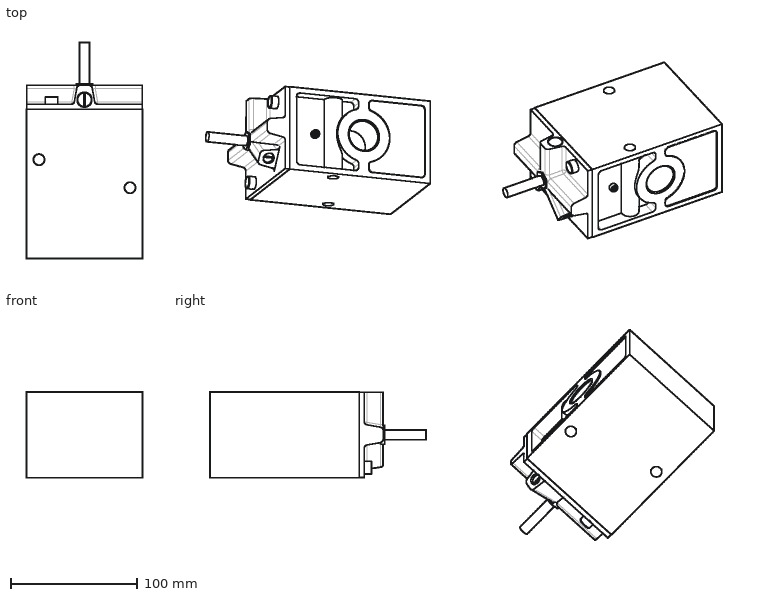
import cadquery as cq
import math

body_width = 92.0
body_length = 118.2
body_height = 68.0
total_length = 171.0

cover_width = 91.4
cover_height = 67.7
cover_rear = 122.1

rib_height = 15.0
rib_base_half_width = 8.35
rib_draft = 10.0
rib_crest_radius = 3.0
rib_foot_radius = 2.5
rib_corner_radius = 2.2
rib_rear = cover_rear + rib_height
rib_crest_half_width = rib_base_half_width - rib_height * math.tan(math.radians(rib_draft))
rib_reach = cover_height / 2
top_rib_angle = 90.0
slanted_rib_angle = 218.0

top_plug_diameter = 11.0
top_plug_depth = 10.0
top_plug_chamfer = 0.4
top_plug_y = cover_rear + 3.5
slanted_plug_diameter = 8.6
slanted_plug_depth = 2.3
slanted_plug_y = cover_rear + 6.9
plug_slot_width = 0.8
plug_slot_depth = 1.0

cable_diameter = 8.0
gland_across_flats = 13.0
gland_height = 1.3

cap_screw_diameter = 10.0
cap_screw_height = 6.0
cap_screw_edge = 0.5
cap_screw_offset = 26.0

through_diameter = 8.6
through_x = 36.0
left_through_y = 78.2
right_through_y = 56.0

port_y = 56.0
port_diameter = 24.12
port_depth = 30.0
port_chamfer = 1.0
port_ring_radius = 21.9
port_web_width = 8.8

pocket_height = 59.2
pocket_front = 4.5
pocket_rear = 112.6
pocket_corner_radius = 3.0
rear_pocket_depth = 11.0
front_pocket_depth = 1.0
column_radius = 7.2

pin_y = 93.5
pin_diameter = 6.15
pin_length = 3.5
pin_chamfer = 0.4
pin_hole_diameter = 2.46
pin_hole_depth = 1.5

side_x = -body_width / 2
tolerance = 0.01


def y_cylinder(diameter, y_start, y_end, x=0.0, z=0.0):
    """Cylinder along +Y."""
    axis = cq.Vector(0, 1, 0)
    return cq.Workplane(cq.Solid.makeCylinder(diameter / 2, y_end - y_start, cq.Vector(x, y_start, z), axis))


def side_cylinder(diameter, x_start, depth, y, z=0.0):
    """Cylinder along +X."""
    axis = cq.Vector(1, 0, 0)
    return cq.Workplane(cq.Solid.makeCylinder(diameter / 2, depth, cq.Vector(x_start, y, z), axis))


def z_cylinder(diameter, z_start, height, x, y):
    """Cylinder along +Z."""
    return cq.Workplane(cq.Solid.makeCylinder(diameter / 2, height, cq.Vector(x, y, z_start)))


def turn_about_y(shape, angle):
    """Turn a shape built along +X towards +Z by the given angle."""
    return shape.rotate((0, 0, 0), (0, 1, 0), -angle)


def make_rib(reach, angle):
    """Rib with a tapered cross-section, from the centre out to the given reach."""
    rib = (
        cq.Workplane("YZ")
        .moveTo(cover_rear, -rib_base_half_width)
        .lineTo(rib_rear, -rib_crest_half_width)
        .lineTo(rib_rear, rib_crest_half_width)
        .lineTo(cover_rear, rib_base_half_width)
        .close()
        .extrude(reach)
    )
    return turn_about_y(rib, angle)


def make_ribs():
    half_width = cover_width / 2
    ribs = make_rib(half_width, 0)
    for reach, angle in ((half_width, 180), (rib_reach, top_rib_angle), (rib_reach, slanted_rib_angle)):
        ribs = ribs.union(make_rib(reach, angle))
    return ribs


def make_cover():
    thickness = cover_rear - body_length
    plate = cq.Workplane("XY").box(cover_width, thickness, cover_height)
    plate = plate.translate((0, body_length + thickness / 2, 0))
    cover = plate.union(make_ribs())

    def is_upper_corner(edge):
        """Edges where the flanks of the top rib meet those of the side ribs."""
        middle = edge.Center()
        near_centre = abs(middle.x) < rib_base_half_width and 0 < middle.z < rib_base_half_width
        rises_to_crest = edge.BoundingBox().ylen > rib_height / 2
        return near_centre and rises_to_crest

    corners = [edge for edge in cover.edges().vals() if is_upper_corner(edge)]
    cover = cover.newObject(corners).fillet(rib_corner_radius)

    def is_end_edge(edge):
        """Edges lying in the flat end of a rib."""
        middle = edge.Center()
        slant = math.radians(slanted_rib_angle)
        along_slant = middle.x * math.cos(slant) + middle.z * math.sin(slant)
        at_side = abs(middle.x) > cover_width / 2 - tolerance
        at_top = abs(middle.z) > cover_height / 2 - tolerance
        at_slant_end = abs(along_slant - rib_reach) < tolerance
        return at_side or at_top or at_slant_end

    crest = [edge for edge in cover.faces(">Y").edges().vals() if not is_end_edge(edge)]
    cover = cover.newObject(crest).fillet(rib_crest_radius)

    def is_foot(edge):
        """Edges where the rib flanks meet the rear face of the plate."""
        box = edge.BoundingBox()
        level = max(abs(box.ymin - cover_rear), abs(box.ymax - cover_rear)) < tolerance
        return level and not is_end_edge(edge)

    feet = [edge for edge in cover.edges().vals() if is_foot(edge)]
    return cover.newObject(feet).fillet(rib_foot_radius)


def plug_recess(diameter, depth, y):
    """Blind hole with a screwdriver slot in its floor, cut inwards from the end of a rib along +X."""
    floor = rib_reach - depth
    recess = side_cylinder(diameter, floor, depth, y)
    slot = cq.Workplane("XY").box(plug_slot_depth, diameter, plug_slot_width)
    slot = slot.translate((floor - plug_slot_depth / 2, y, 0))
    return recess.union(slot)


def plug_chamfer():
    """Cone that breaks the mouth of the top plug recess, built along +X."""
    radius = top_plug_diameter / 2
    base = cq.Vector(rib_reach - top_plug_chamfer, top_plug_y, 0)
    cone = cq.Solid.makeCone(radius, radius + top_plug_chamfer, top_plug_chamfer, base, cq.Vector(1, 0, 0))
    return cq.Workplane(cone)


def make_cap_screw(x, z):
    screw = y_cylinder(cap_screw_diameter, body_length, cover_rear + cap_screw_height, x, z)
    return screw.faces(">Y").edges().chamfer(cap_screw_edge)


def make_cable():
    """Cable leaving through a hexagonal gland whose flats face along X."""
    across_corners = gland_across_flats / math.cos(math.pi / 6)
    gland = cq.Workplane("ZX", origin=(0, cover_rear, 0)).polygon(6, across_corners)
    gland = gland.extrude(rib_height + gland_height)
    return gland.union(y_cylinder(cable_diameter, cover_rear, total_length))


def make_pocket(y_start, y_end, depth):
    """Pocket in the -X side whose inner end wraps around the port ring."""
    block = cq.Workplane("XY").box(depth, y_end - y_start, pocket_height)
    block = block.translate((side_x + depth / 2, (y_start + y_end) / 2, 0))
    pocket = block.cut(side_cylinder(2 * port_ring_radius, side_x, depth, port_y))
    return pocket.edges("|X").fillet(pocket_corner_radius)


def cut_pockets(body):
    web_half = port_web_width / 2
    rear_pocket = make_pocket(port_y + web_half, pocket_rear, rear_pocket_depth)
    column = z_cylinder(2 * column_radius, -body_height / 2, body_height, -through_x, left_through_y)
    body = body.cut(rear_pocket.cut(column))
    body = body.cut(make_pocket(pocket_front, port_y - web_half, front_pocket_depth))

    floor = side_x + rear_pocket_depth
    tip = floor - pin_length
    pin = side_cylinder(pin_diameter, tip, pin_length, pin_y).faces("<X").edges().chamfer(pin_chamfer)
    pin = pin.cut(side_cylinder(pin_hole_diameter, tip, pin_hole_depth, pin_y))
    return body.union(pin)


def cut_port(body):
    radius = port_diameter / 2
    mouth = cq.Solid.makeCone(
        radius + port_chamfer, radius, port_chamfer,
        cq.Vector(side_x, port_y, 0), cq.Vector(1, 0, 0),
    )
    return body.cut(side_cylinder(port_diameter, side_x, port_depth, port_y)).cut(cq.Workplane(mouth))


def make_body():
    body = cq.Workplane("XY").box(body_width, body_length, body_height)
    body = body.translate((0, body_length / 2, 0))
    body = cut_port(cut_pockets(body))
    for x, y in ((-through_x, left_through_y), (through_x, right_through_y)):
        body = body.cut(z_cylinder(through_diameter, -body_height / 2, body_height, x, y))
    return body


top_plug = plug_recess(top_plug_diameter, top_plug_depth, top_plug_y)
top_plug = turn_about_y(top_plug.union(plug_chamfer()), top_rib_angle)
slanted_plug = plug_recess(slanted_plug_diameter, slanted_plug_depth, slanted_plug_y)
slanted_plug = turn_about_y(slanted_plug, slanted_rib_angle)

result = make_body().union(make_cover()).cut(top_plug).cut(slanted_plug).union(make_cable())
for screw_x, screw_z in ((-cap_screw_offset, cap_screw_offset), (cap_screw_offset, -cap_screw_offset)):
    result = result.union(make_cap_screw(screw_x, screw_z))